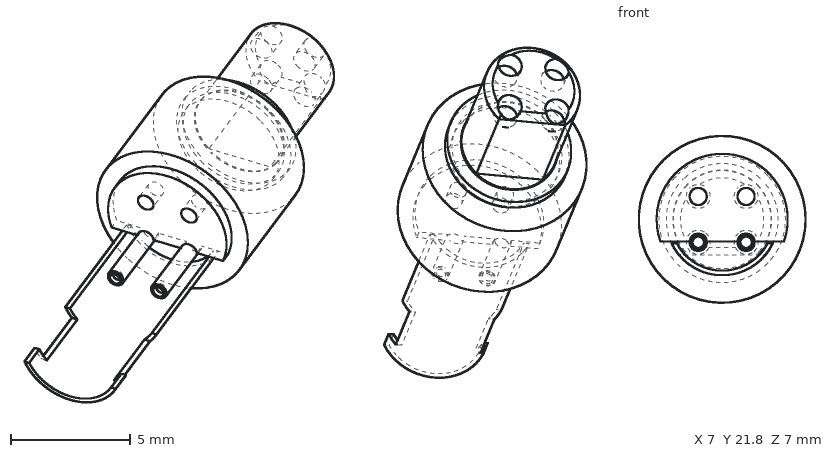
import cadquery as cq

notch_front = 1.0
notch_back = 4.0
pin_tip = 6.52
boss_front = 9.5
body_front = 10.0
body_back = 15.5
flange_front = 16.0
flange_back = 16.5
overall_length = 21.8

body_diameter = 7.0
boss_diameter = 5.5
neck_diameter = 4.69
flange_diameter = 5.3
collar_length = 0.07
collar_diameter = 4.15
plug_diameter = 4.1
plug_chamfer = 0.3

boss_flat = -0.94
plug_flat = -1.48

trough_outer_diameter = neck_diameter
trough_wall = 0.2
trough_rim = -1.0
notch_floor = -1.48

contact_diameter = 0.72
contact_x = 1.0
contact_z = 0.95
pin_chamfer = 0.05
cup_diameter = 0.48
cup_depth = 0.26
cup_cone_depth = 0.13
socket_depth = 1.0
well_diameter = 1.0
well_depth = 1.0


def cylinder(diameter, y_front, y_back, x=0, z=0):
    """Cylinder along Y between two Y positions."""
    plane = cq.Workplane("XZ", origin=(x, y_front, z))
    return plane.circle(diameter / 2).extrude(y_front - y_back)


def slab(y_front, y_back, z_bottom, z_top):
    """Block wider than the part, between two Y positions and two Z levels."""
    size = (body_diameter, y_back - y_front, z_top - z_bottom)
    corner = (-body_diameter / 2, y_front, z_bottom)
    return cq.Workplane("XY").box(*size, centered=False).translate(corner)


def make_plug():
    collar_back = flange_back + collar_length
    collar = cylinder(collar_diameter, flange_back, collar_back)
    plug = cylinder(plug_diameter, collar_back, overall_length)
    plug = plug.cut(slab(collar_back, overall_length, -plug_diameter, plug_flat))
    return collar.union(plug.faces(">Y").chamfer(plug_chamfer))


def make_boss():
    boss = cylinder(boss_diameter, boss_front, body_front)
    return boss.cut(slab(boss_front, body_front, -boss_diameter, boss_flat))


def make_trough():
    outer = cylinder(trough_outer_diameter, 0, body_front)
    inner = cylinder(trough_outer_diameter - 2 * trough_wall, 0, body_front)
    shell = outer.cut(inner)
    shell = shell.cut(slab(0, body_front, trough_rim, trough_outer_diameter))
    return shell.cut(slab(notch_front, notch_back, notch_floor, trough_outer_diameter))


def make_pin(x):
    """Pin with a chamfered tip and a blind cup ending in a cone."""
    pin = cylinder(contact_diameter, pin_tip, body_front, x, -contact_z)
    pin = pin.faces("<Y").chamfer(pin_chamfer)
    cup_profile = [
        (0, pin_tip),
        (cup_diameter / 2, pin_tip),
        (cup_diameter / 2, pin_tip + cup_depth),
        (0, pin_tip + cup_depth + cup_cone_depth),
    ]
    cup = cq.Workplane("XY").polyline(cup_profile).close().revolve(360, (0, 0, 0), (0, 1, 0))
    return pin.cut(cup.translate((x, 0, -contact_z)))


result = (
    cylinder(body_diameter, body_front, body_back)
    .union(cylinder(neck_diameter, body_back, flange_front))
    .union(cylinder(flange_diameter, flange_front, flange_back))
    .union(make_plug())
    .union(make_boss())
    .union(make_trough())
)

for x in (-contact_x, contact_x):
    result = result.union(make_pin(x))
    result = result.cut(cylinder(contact_diameter, boss_front, boss_front + socket_depth, x, contact_z))
    for z in (-contact_z, contact_z):
        result = result.cut(cylinder(well_diameter, overall_length - well_depth, overall_length, x, z))